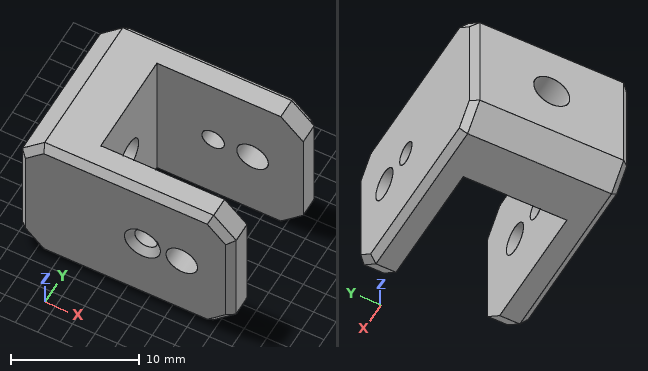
import cadquery as cq

length = 19.0
width = 14.0
height = 13.5
corner_chamfer = 2.0
edge_chamfer = 0.6

base_thickness = 6.0
slot_width = 9.2

screw_hole_x = 11.0
screw_hole_z = 0.04
screw_hole_diameter = 2.0
countersink_diameter = 3.2
countersink_angle = 90.0
pin_hole_x = 14.5
pin_hole_diameter = 2.8
base_hole_diameter = 3.2


def make_body():
    """Block with cut corners and bevelled outlines on both broad faces."""
    block = cq.Workplane("XY").box(length, width, height)
    block = block.edges("|Y").chamfer(corner_chamfer)
    return block.faces("<Y or >Y").edges().chamfer(edge_chamfer)


def make_slot():
    """Full-height slot, open at the +X end."""
    slot_length = length - base_thickness
    slot_centre_x = base_thickness / 2
    return cq.Workplane("XY").box(slot_length, slot_width, height).translate((slot_centre_x, 0, 0))


def drill_arms(body):
    """Countersunk screw hole and plain pin hole through both arms from -Y."""
    front = cq.Workplane("XZ", origin=(-length / 2, -width / 2, 0))
    body = body.copyWorkplane(front).center(screw_hole_x, screw_hole_z)
    body = body.cskHole(screw_hole_diameter, countersink_diameter, countersink_angle)
    return body.copyWorkplane(front).center(pin_hole_x, 0).hole(pin_hole_diameter)


def drill_base(body):
    """Plain hole along X through the base."""
    return body.faces("<X").workplane(centerOption="CenterOfBoundBox").hole(base_hole_diameter, base_thickness)


result = drill_base(drill_arms(make_body().cut(make_slot())))